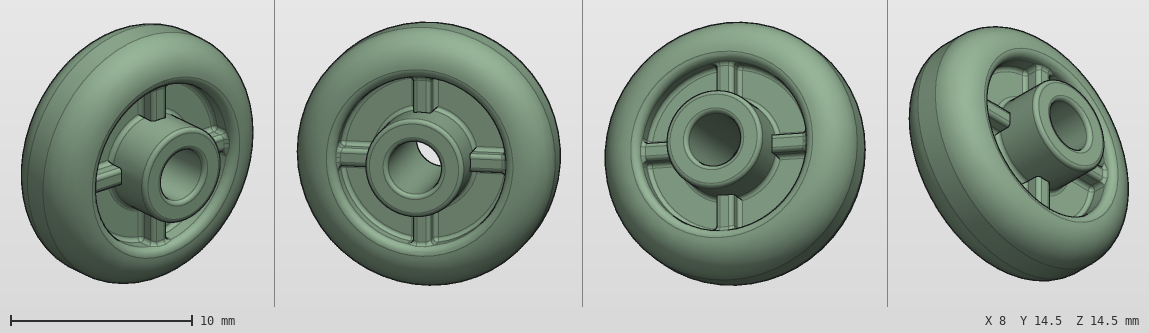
import cadquery as cq
import math

wheel_radius = 7.25
hub_length = 8.0
hub_radius = 2.75
bore_radius = 1.5
edge_radius = 0.25

tyre_width = 5.0
tread_flat_width = 1.35
shoulder_height = 2.0

mouth_radius = 0.5
web_thickness = 2.0

rib_count = 4
rib_width = 1.0

half_hub = hub_length / 2
half_tyre = tyre_width / 2
half_tread = tread_flat_width / 2
half_web = web_thickness / 2
face_radius = wheel_radius - shoulder_height
pocket_radius = face_radius - mouth_radius
rib_top = half_tyre - mouth_radius
rib_length = pocket_radius - hub_radius
tolerance = 0.007


def half_wheel():
    """Turned half of the wheel on the +X side, with sharp hub, bore and pocket corners."""
    profile = (
        cq.Workplane("XY")
        .moveTo(0, bore_radius)
        .lineTo(half_hub, bore_radius)
        .lineTo(half_hub, hub_radius)
        .lineTo(half_web, hub_radius)
        .lineTo(half_web, pocket_radius)
        .lineTo(rib_top, pocket_radius)
        .tangentArcPoint((half_tyre, face_radius), relative=False)
        .tangentArcPoint((half_tread, wheel_radius), relative=False)
        .lineTo(0, wheel_radius)
        .close()
    )
    return profile.revolve(360, (0, 0, 0), (1, 0, 0))


def rib(angle):
    """Radial rib on the web, with its ends sunk into the hub and the pocket wall."""
    sunk_length = rib_length + 2 * edge_radius
    bar = cq.Workplane("XY").box(rib_top, rib_width, sunk_length, centered=(False, True, False))
    return bar.translate((0, 0, hub_radius - edge_radius)).rotate((0, 0, 0), (1, 0, 0), angle)


def edges_between(body, x_low, x_high):
    """Edges of the body that lie wholly between two planes across the axis."""
    slab = cq.selectors.BoxSelector(
        (x_low - tolerance, -wheel_radius, -wheel_radius),
        (x_high + tolerance, wheel_radius, wheel_radius),
        boundingbox=True,
    )
    return body.edges(slab)


def is_rounded(edge):
    """True for pocket edges that get a rounding: all but the rib ends at the hub and the mouth line."""
    center = edge.Center()
    on_floor = center.x < half_web + tolerance
    at_hub = math.hypot(center.y, center.z) < hub_radius + tolerance
    on_mouth_line = edge.Length() > rib_length + rib_width
    return on_floor or not (at_hub or on_mouth_line)


half = half_wheel()
for i in range(rib_count):
    half = half.union(rib(i * 360 / rib_count))

pocket_edges = edges_between(half, half_web, rib_top)
half = pocket_edges.newObject([e for e in pocket_edges.vals() if is_rounded(e)]).fillet(edge_radius)

half = edges_between(half, half_hub, half_hub).fillet(edge_radius)

result = half.union(half.rotate((0, 0, 0), (0, 1, 0), 180))